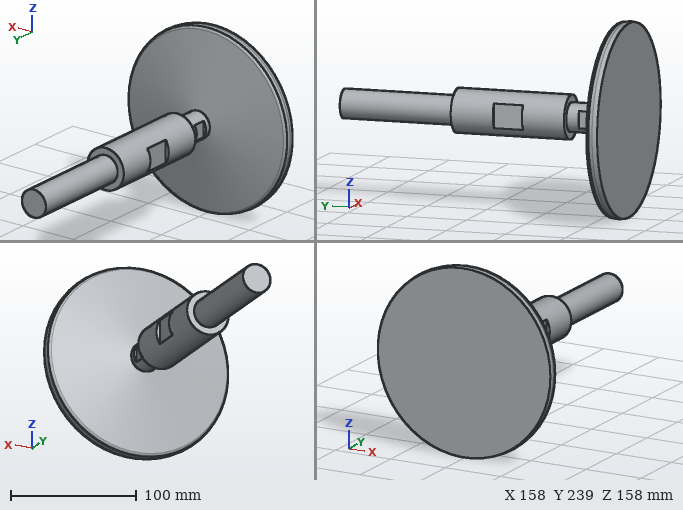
import cadquery as cq
import math

total_length = 239.0

foot_diameter = 158.0
sole_face_diameter = 157.0
sole_ridge_height = 4.0
sole_height = 7.5

plate_top = 21.0
rim_radius = 2.5

stem_diameter = 24.0
sleeve_diameter = 36.0
sleeve_start = 48.5
sleeve_length = 95.1

stem_flats_start = 26.3
stem_flats_length = 12.2
stem_across_flats = 19.4
sleeve_flats_length = 24.4
sleeve_across_flats = 30.0
sleeve_flats_start = sleeve_start + (sleeve_length - sleeve_flats_length) / 2

stem_radius = stem_diameter / 2
sole_face_radius = sole_face_diameter / 2


def revolve_about_y(profile):
    return profile.close().revolve(360, (0, 0, 0), (0, 1, 0))


def rod(diameter, start, length):
    """Cylinder along +Y beginning at Y = start."""
    plane = cq.Plane(origin=(0, start, 0), xDir=(1, 0, 0), normal=(0, 1, 0))
    return cq.Workplane(plane).circle(diameter / 2).extrude(length)


def cut_flats(body, diameter, across_flats, start, length):
    """Mill two parallel flats, across_flats apart, on opposite sides of a rod."""
    depth = (diameter - across_flats) / 2
    for side in (-1, 1):
        cutter = cq.Workplane("XY").box(depth, length, diameter)
        center_x = side * (across_flats + depth) / 2
        body = body.cut(cutter.translate((center_x, start + length / 2, 0)))
    return body


def make_sole():
    """Flat pad whose rim tapers both ways from a ridge, where it is widest."""
    return revolve_about_y(
        cq.Workplane("XY")
        .lineTo(sole_face_radius, 0)
        .lineTo(foot_diameter / 2, sole_ridge_height)
        .lineTo(sole_face_radius, sole_height)
        .lineTo(0, sole_height)
    )


def make_plate():
    """Cone that drops from the stem and runs tangent into a rounded rim on the sole."""
    arc_center_x = sole_face_radius - rim_radius

    run = arc_center_x - stem_radius
    drop = plate_top - sole_height
    cone_slope = math.atan2(drop, run) - math.asin(rim_radius / math.hypot(run, drop))
    arc_end_angle = math.pi / 2 - cone_slope

    def rim_point(angle):
        return (
            arc_center_x + rim_radius * math.cos(angle),
            sole_height + rim_radius * math.sin(angle),
        )

    return revolve_about_y(
        cq.Workplane("XY")
        .moveTo(0, sole_height)
        .lineTo(sole_face_radius, sole_height)
        .threePointArc(rim_point(arc_end_angle / 2), rim_point(arc_end_angle))
        .lineTo(stem_radius, plate_top)
        .lineTo(0, plate_top)
    )


def make_stem():
    """Round stem with a thicker sleeve section, both with wrench flats."""
    stem = rod(stem_diameter, plate_top, total_length - plate_top)
    stem = cut_flats(stem, stem_diameter, stem_across_flats, stem_flats_start, stem_flats_length)
    sleeve = rod(sleeve_diameter, sleeve_start, sleeve_length)
    sleeve = cut_flats(
        sleeve, sleeve_diameter, sleeve_across_flats, sleeve_flats_start, sleeve_flats_length
    )
    return stem.union(sleeve)


def make_foot():
    return make_plate().union(make_stem())


sole = make_sole()
foot = make_foot()

result = cq.Compound.makeCompound([sole.val(), foot.val()])